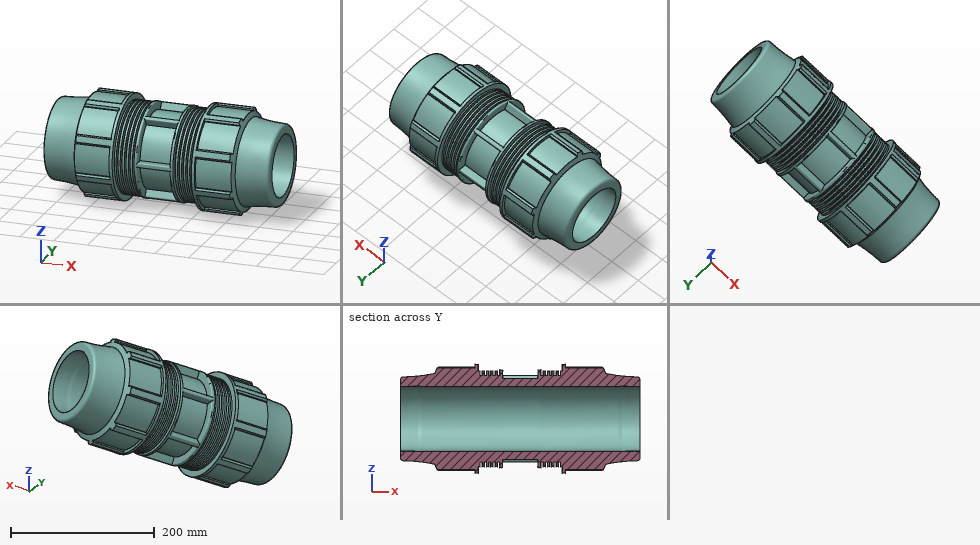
import cadquery as cq
import math

half_length = 167.0
bore_radius = 90.0 / 2

nose_radius = 58.8
nose_root_radius = 63.5
nose_sag = 1.0
nose_end_fillet = 4.5
shoulder_start = 47.8
shoulder_length = 5.5
nut_radius = 152.0 / 2
nut_end = 108.5
nut_flange_thickness = 4.7

recess_count = 8
recess_floor_radius = 71.0
recess_half_width = 21.7
recess_wall_top = 70.0
recess_flare_width = 3.0
recess_flare_height = 1.7

entry_radius = 45.5
entry_depth = 24.7
entry_cone_end = 29.7

thread_core_radius = 60.8
thread_radius = 134.0 / 2
thread_count = 5
thread_pitch = 6.0
thread_width = 3.5
thread_gap_to_band = 3.0

band_radius = 68.5
band_half_length = 28.7
band_rim_thickness = 4.7
window_floor_radius = 56.8
band_rib_count = 6
band_rib_half_width = 3.5
window_fillet = 1.7

tolerance = 0.005


def ring(x_start, x_end, outer_radius, inner_radius):
    """Tube around the X axis between two stations."""
    return (
        cq.Workplane("YZ", origin=(x_start, 0, 0))
        .circle(outer_radius)
        .circle(inner_radius)
        .extrude(x_end - x_start)
    )


def make_nut():
    nose_start_x = -half_length + nose_end_fillet
    shoulder_x = -half_length + shoulder_start
    nut_end_x = -half_length + nut_end
    nose_middle = (
        (nose_start_x + shoulder_x) / 2,
        (nose_radius + nose_root_radius) / 2 - nose_sag,
    )
    fillet_centre = (nose_start_x, nose_radius - nose_end_fillet)
    fillet_reach = nose_end_fillet * math.sqrt(0.5)
    nut = (
        cq.Workplane("XY")
        .moveTo(-half_length, bore_radius)
        .lineTo(-half_length, fillet_centre[1])
        .threePointArc(
            (fillet_centre[0] - fillet_reach, fillet_centre[1] + fillet_reach),
            (nose_start_x, nose_radius),
        )
        .threePointArc(nose_middle, (shoulder_x, nose_root_radius))
        .lineTo(shoulder_x + shoulder_length, nut_radius)
        .lineTo(nut_end_x, nut_radius)
        .lineTo(nut_end_x, bore_radius)
        .lineTo(-half_length + entry_cone_end, bore_radius)
        .lineTo(-half_length + entry_depth, entry_radius)
        .close()
        .revolve(360, (0, 0, 0), (1, 0, 0))
    )
    return nut.cut(make_nut_recesses(shoulder_x, nut_end_x - nut_flange_thickness))


def make_nut_recesses(x_start, x_end):
    flare_reach = 4
    outer_half_width = recess_half_width + flare_reach * recess_flare_width
    outer_height = recess_wall_top + flare_reach * recess_flare_height
    recess = (
        cq.Workplane("YZ", origin=(x_start, 0, 0))
        .polyline([
            (-recess_half_width, 0),
            (-recess_half_width, recess_wall_top),
            (-outer_half_width, outer_height),
            (outer_half_width, outer_height),
            (recess_half_width, recess_wall_top),
            (recess_half_width, 0),
        ])
        .close()
        .extrude(x_end - x_start)
    )
    floor = cq.Workplane("YZ", origin=(x_start, 0, 0)).circle(recess_floor_radius).extrude(x_end - x_start)
    recess = recess.cut(floor)
    recesses = cq.Workplane("XY")
    for index in range(recess_count):
        turned = recess.rotate((0, 0, 0), (1, 0, 0), index * 360 / recess_count)
        recesses = recesses.add(turned)
    return recesses.combine()


def make_threads():
    threads = ring(-half_length + nut_end, -band_half_length, thread_core_radius, bore_radius)
    last_thread_end = -band_half_length - thread_gap_to_band
    for index in range(thread_count):
        thread_end = last_thread_end - index * thread_pitch
        thread_start = max(thread_end - thread_width, -half_length + nut_end)
        threads = threads.union(ring(thread_start, thread_end, thread_radius, bore_radius))
    return threads


def make_band():
    band = ring(-band_half_length, band_half_length, band_radius, bore_radius)
    window_half_length = band_half_length - band_rim_thickness
    windows = ring(-window_half_length, window_half_length, band_radius, window_floor_radius)
    slab = cq.Workplane("XY").box(2 * band_half_length, 2 * nut_radius, 2 * band_rib_half_width)
    for index in range(band_rib_count // 2):
        windows = windows.cut(slab.rotate((0, 0, 0), (1, 0, 0), index * 360 / band_rib_count))
    band = band.cut(windows)

    rim_middle = window_half_length + band_rim_thickness / 2

    def on_band_surface(point):
        return math.isclose(math.hypot(point.y, point.z), band_radius, abs_tol=tolerance)

    def at_window_mouth(edge):
        start = edge.startPoint()
        return on_band_surface(start) and on_band_surface(edge.endPoint()) and abs(start.x) < rim_middle

    mouth_edges = [edge for edge in band.edges().vals() if at_window_mouth(edge)]
    return band.newObject(mouth_edges).fillet(window_fillet)


left_end = make_nut().union(make_threads())
right_end = left_end.mirror("YZ")
result = make_band().union(left_end).union(right_end)